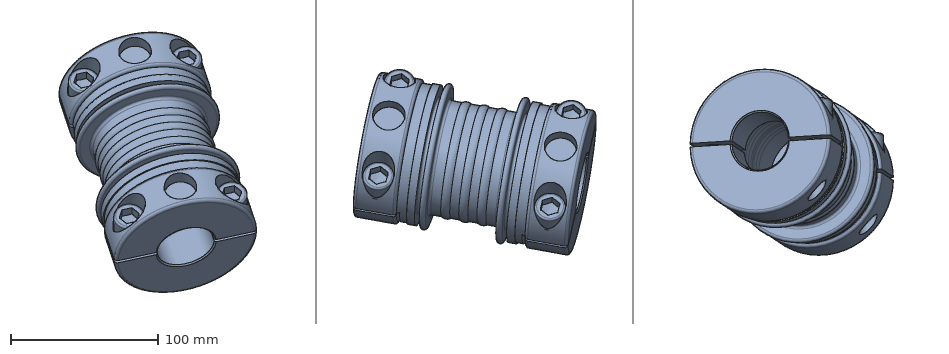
import cadquery as cq
import math

length = 148.9
half_length = length / 2

clamp_diameter = 100.0
clamp_width = 30.0
clamp_edge_radius = 2.2
clamp_inner_x = half_length - clamp_width
clamp_center_x = half_length - clamp_width / 2
shaft_bore_diameter = 40.0
shaft_bore_chamfer = 1.0

split_gap = 2.5
relief_gap = 2.1
relief_inner_x = clamp_inner_x - relief_gap

neck_diameter = 95.5
flange_diameter = 97.2
flange_outer_x = 37.5
flange_inner_x = 31.9

bellows_diameter = 78.9
inner_bore_diameter = 56.0
fin_diameter = 101.0
fin_width = 4.3
fin_center_x = 26.5
fin_root_radius = 2.0
valley_diameter = 78.3
rib_height = 1.0
rib_width = 6.3
rib_pitch = 12.5

screw_y = 36.0
screw_diameter = 14.0
head_diameter = 21.0
head_top_z = 28.9
head_height = screw_diameter
head_seat_z = head_top_z - head_height
head_edge_radius = 1.3
counterbore_diameter = 22.0
thread_hole_diameter = 12.0
screw_bottom_z = -14.9
socket_flats = 12.0
socket_depth = 7.0
socket_cone_height = 3.0

pocket_diameter = counterbore_diameter
pocket_floor_z = 39.9


def x_cylinder(start_x, end_x, diameter):
    return cq.Workplane("YZ", origin=(start_x, 0, 0)).circle(diameter / 2).extrude(end_x - start_x)


def z_cylinder(x, y, start_z, end_z, diameter):
    return cq.Workplane("XY", origin=(x, y, start_z)).circle(diameter / 2).extrude(end_z - start_z)


def revolve_about_x(profile):
    return profile.close().revolve(360, (0, 0, 0), (1, 0, 0))


def bellows_half():
    """Bellows on the +X side: plain tube, tall round-tipped fin and the round valley at the flange."""
    tube_radius = bellows_diameter / 2
    fin_inner_x = fin_center_x - fin_width / 2
    fin_outer_x = fin_center_x + fin_width / 2
    fin_tip_radius = fin_width / 2
    fin_shoulder = fin_diameter / 2 - fin_tip_radius
    valley_radius = (flange_inner_x - fin_outer_x) / 2
    valley_shoulder = valley_diameter / 2 + valley_radius
    root_diagonal = fin_root_radius * (1 - math.sqrt(0.5))
    profile = (
        cq.Workplane("XY")
        .moveTo(0, 0)
        .lineTo(0, tube_radius)
        .lineTo(fin_inner_x - fin_root_radius, tube_radius)
        .threePointArc(
            (fin_inner_x - root_diagonal, tube_radius + root_diagonal),
            (fin_inner_x, tube_radius + fin_root_radius),
        )
        .lineTo(fin_inner_x, fin_shoulder)
        .threePointArc((fin_center_x, fin_diameter / 2), (fin_outer_x, fin_shoulder))
        .lineTo(fin_outer_x, valley_shoulder)
        .threePointArc((fin_outer_x + valley_radius, valley_diameter / 2), (flange_inner_x, valley_shoulder))
        .lineTo(flange_inner_x, 0)
    )
    return revolve_about_x(profile)


def bellows_rib(center_x):
    """Low ring with an arched crest around the bellows tube."""
    tube_radius = bellows_diameter / 2
    profile = (
        cq.Workplane("XY")
        .moveTo(center_x - rib_width / 2, inner_bore_diameter / 2)
        .lineTo(center_x - rib_width / 2, tube_radius)
        .threePointArc((center_x, tube_radius + rib_height), (center_x + rib_width / 2, tube_radius))
        .lineTo(center_x + rib_width / 2, inner_bore_diameter / 2)
    )
    return revolve_about_x(profile)


def hub():
    """Solid of revolution on the +X side: clamp, neck and flange, with the shaft bore."""
    clamp = x_cylinder(clamp_inner_x, half_length, clamp_diameter).edges().fillet(clamp_edge_radius)
    neck = x_cylinder(flange_outer_x, clamp_center_x, neck_diameter)
    flange = x_cylinder(flange_inner_x, flange_outer_x, flange_diameter)
    bore = x_cylinder(relief_inner_x, half_length, shaft_bore_diameter)
    inner_bore = x_cylinder(0, relief_inner_x, inner_bore_diameter)
    body = clamp.union(neck).union(flange).union(bellows_half()).cut(inner_bore).cut(bore)
    bore_rim = cq.selectors.RadiusNthSelector(0)
    return body.faces(">X").edges(bore_rim).chamfer(shaft_bore_chamfer)


def clamp_slits():
    """Horizontal slit through the clamp and the slit that parts its lower half from the neck."""
    split = cq.Workplane("XY").box(
        half_length - relief_inner_x, clamp_diameter, split_gap, centered=(False, True, True)
    )
    relief = cq.Workplane("XY").box(
        relief_gap, clamp_diameter, clamp_diameter / 2, centered=(False, True, False)
    )
    relief = relief.translate((0, 0, -clamp_diameter / 2))
    return split.union(relief).translate((relief_inner_x, 0, 0))


def screw(y):
    """Socket head screw joining the clamp halves, with a cone at the bottom of its hexagon socket."""
    shank = z_cylinder(clamp_center_x, y, screw_bottom_z, head_seat_z, screw_diameter)
    head = z_cylinder(clamp_center_x, y, head_seat_z, head_top_z, head_diameter)
    head = head.faces(">Z").edges().fillet(head_edge_radius)
    socket_corners = socket_flats / math.cos(math.pi / 6)
    cone = cq.Solid.makeCone(0, socket_corners / 2, socket_cone_height)
    socket = (
        cq.Workplane("XY")
        .polygon(6, socket_corners)
        .extrude(socket_depth + socket_cone_height)
        .intersect(
            cq.Workplane("XY").add(cone).union(z_cylinder(0, 0, socket_cone_height, head_height, head_diameter))
        )
        .rotate((0, 0, 0), (0, 0, 1), 90)
        .translate((clamp_center_x, y, head_top_z - socket_depth - socket_cone_height))
    )
    return head.union(shank).cut(socket)


def half_coupling():
    body = hub().cut(clamp_slits())
    body = body.cut(z_cylinder(clamp_center_x, 0, pocket_floor_z, clamp_diameter / 2, pocket_diameter))
    for y in (-screw_y, screw_y):
        counterbore = z_cylinder(clamp_center_x, y, head_seat_z, clamp_diameter / 2, counterbore_diameter)
        thread_hole = z_cylinder(clamp_center_x, y, -clamp_diameter / 2, screw_bottom_z, thread_hole_diameter)
        body = body.cut(counterbore).cut(thread_hole).union(screw(y))
    return body


positive_half = half_coupling()
result = positive_half.union(positive_half.mirror("YZ"))
for rib_x in (-rib_pitch, 0, rib_pitch):
    result = result.union(bellows_rib(rib_x))